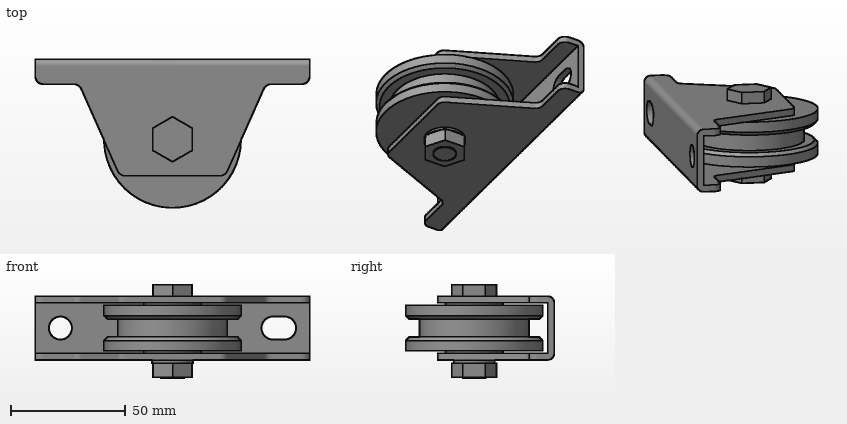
import cadquery as cq
import math

bracket_length = 120.0
bracket_height = 28.0
bracket_depth = 51.0
sheet = 3.0
bend_radius = 3.0
ear_depth = 11.0
shoulder_half_width = 40.8
nose_half_width = 23.0
corner_radius = 3.6

hole_diameter = 10.0
hole_x = -49.0
slot_length = 15.0
slot_x = 46.5

wheel_radius = 30.0
wheel_width = 20.0
groove_radius = 24.0
groove_width = 7.8
rim_chamfer = 1.5
hub_radius = 12.6

across_flats = 17.0
head_height = 5.0
washer_radius = 9.0
washer_height = 1.3
nut_height = 6.2
bolt_radius = 5.0
bolt_tip = 0.5

axle_to_back = 35.0
back_y = axle_to_back
ear_y = back_y - ear_depth
nose_y = back_y - bracket_depth
flange_top = bracket_height / 2
half_length = bracket_length / 2


def cylinder(radius, bottom, height):
    return cq.Workplane("XY").workplane(offset=bottom).circle(radius).extrude(height)


def hexagon(bottom, height):
    """Hexagonal prism on the axle with two corners pointing along Y."""
    across_corners = across_flats / math.cos(math.radians(30))
    prism = cq.Workplane("XY").workplane(offset=bottom).polygon(6, across_corners).extrude(height)
    return prism.rotate((0, 0, 0), (0, 0, 1), 30)


def make_bracket():
    outline = [
        (-half_length, back_y),
        (-half_length, ear_y),
        (-shoulder_half_width, ear_y),
        (-nose_half_width, nose_y),
        (nose_half_width, nose_y),
        (shoulder_half_width, ear_y),
        (half_length, ear_y),
        (half_length, back_y),
    ]
    block = cq.Workplane("XY").workplane(offset=-flange_top).polyline(outline).close().extrude(bracket_height)
    block = block.edges("|Z").edges("not >Y").fillet(corner_radius)
    block = block.faces(">Y").edges("|X").fillet(bend_radius)

    inside = cq.Workplane("XY").box(
        bracket_length, bracket_depth, bracket_height - 2 * sheet
    ).translate((0, back_y - sheet - bracket_depth / 2, 0))
    return block.cut(inside)


def make_mounting_holes():
    web = cq.Workplane("XZ", origin=(0, back_y, 0))
    hole = web.center(hole_x, 0).circle(hole_diameter / 2).extrude(sheet)
    slot = web.center(slot_x, 0).slot2D(slot_length, hole_diameter).extrude(sheet)
    return hole.union(slot)


def make_wheel():
    rim_width = (wheel_width - groove_width) / 2
    lower_rim = cylinder(wheel_radius, -wheel_width / 2, rim_width).faces(">Z").chamfer(rim_chamfer)
    upper_rim = lower_rim.mirror("XY")
    core = cylinder(groove_radius, -wheel_width / 2, wheel_width)

    hub_width = bracket_height - 2 * sheet
    hub = cylinder(hub_radius, -hub_width / 2, hub_width)
    return core.union(lower_rim).union(upper_rim).union(hub)


def make_fasteners():
    """Bolt head above the bracket; washer, nut and bolt end below it."""
    washer_bottom = -flange_top - washer_height
    nut_bottom = washer_bottom - nut_height
    bolt_bottom = nut_bottom - bolt_tip
    head = hexagon(flange_top, head_height)
    washer = cylinder(washer_radius, washer_bottom, washer_height)
    nut = hexagon(nut_bottom, nut_height)
    bolt = cylinder(bolt_radius, bolt_bottom, flange_top - bolt_bottom)
    return bolt.union(head).union(washer).union(nut)


bracket = make_bracket().cut(make_mounting_holes())
result = bracket.union(make_wheel()).union(make_fasteners())